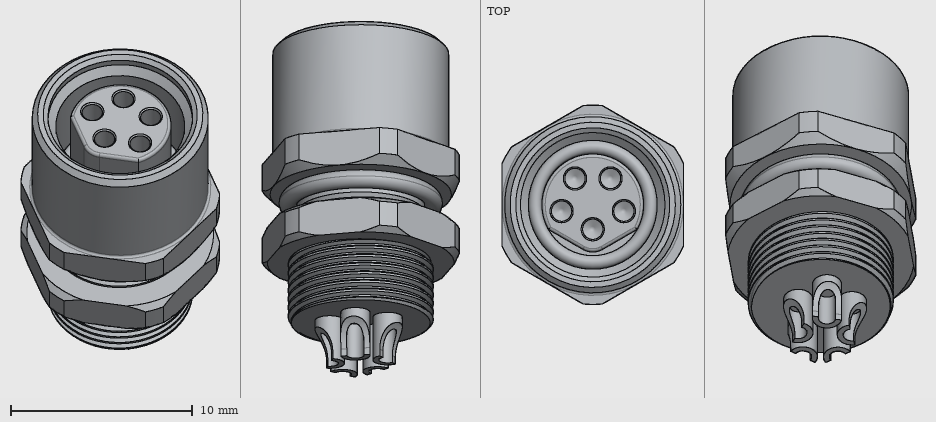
import cadquery as cq
import math


sleeve_radius = 4.85
sleeve_top_z = 8.5
sleeve_chamfer = 0.3
sleeve_root_fillet = 0.14

hex_across_flats = 10.0
hex_corner_radius = 5.495
flange_height = 2.0
flange_chamfer = 0.5
nut_top_z = -2.0
nut_height = 2.0
nut_chamfer_height = 0.3
nut_chamfer_width = 0.35

o_ring_outer_radius = 4.5
o_ring_section_radius = 0.5
neck_radius = 3.53
neck_length = 1.1

outer_thread_radius = 4.0
outer_thread_root_radius = 3.76
outer_thread_pitch = 0.5
outer_thread_root_width = 0.1
outer_thread_start_z = -7.92
outer_thread_turns = 13
thread_end_z = -7.5
thread_end_chamfer = 0.18

bore_radius = 3.55
bore_floor_z = 3.0
bore_mouth_radius = 4.24
bore_mouth_depth = 0.2
bore_relief_radius = 3.98
bore_relief_end_z = 7.9
inner_thread_radius = 4.0
inner_thread_pitch = 1.0
inner_thread_root_width = 0.12
inner_thread_start_z = 4.5
inner_thread_turns = 5

insert_radius = 2.8
insert_top_z = 7.72
insert_edge_fillet = 0.18
key_flat_distance = 2.4
key_corner_radius = 1.1

ring_contact_radius = 1.75
key_contact_radius = 1.345
upper_contact_angle = 56.0
lower_contact_angle = -11.5
contacts = [
    (ring_contact_radius, upper_contact_angle),
    (ring_contact_radius, 180 - upper_contact_angle),
    (ring_contact_radius, lower_contact_angle),
    (ring_contact_radius, 180 - lower_contact_angle),
    (key_contact_radius, -90),
]
contact_hole_radius = 0.56
contact_hole_depth = 4.0
contact_hole_chamfer = 0.08
drill_point_angle = 118.0

cup_radius = 0.81
cup_length = 2.5
cup_bore_radius = 0.48
cup_bore_depth = 2.0
cup_relief_radius = 2.0
cup_relief_straight = 0.4

overlap = 0.1

groove_clearance = 0.03


def cylinder(radius, bottom_z, top_z):
    return cq.Workplane("XY").workplane(offset=bottom_z).circle(radius).extrude(top_z - bottom_z)


def revolve(outline):
    """Turn a closed (r, z) outline about the Z axis."""
    return cq.Workplane("XZ").polyline(outline).close().revolve(360, (0, 0), (0, 1))


def thread_groove(pitch, start_z, turns, open_radius, root_radius, root_width):
    """Right-handed 60 degree thread groove, starting on +X with its middle at start_z."""
    flank_height = abs(open_radius - root_radius) * math.tan(math.radians(30))
    open_half_width = root_width / 2 + flank_height
    profile = cq.Workplane("XZ").polyline([
        (open_radius, start_z - open_half_width),
        (root_radius, start_z - root_width / 2),
        (root_radius, start_z + root_width / 2),
        (open_radius, start_z + open_half_width),
    ]).close()
    helix = cq.Wire.makeHelix(pitch, pitch * turns, root_radius).translate(cq.Vector(0, 0, start_z))
    return profile.sweep(cq.Workplane(helix), isFrenet=True)


def hexagon(bottom_z, top_z, envelope):
    """Hexagonal prism with flats on +X and -X, trimmed by a turned envelope (r, z)."""
    across_corners = hex_across_flats / math.cos(math.radians(30))
    prism = (
        cq.Workplane("XY").workplane(offset=bottom_z)
        .transformed(rotate=(0, 0, 30)).polygon(6, across_corners).extrude(top_z - bottom_z)
    )
    return prism.intersect(revolve(envelope))


def make_sleeve():
    """Sleeve with its mating bore and the internal thread."""
    root_radius = sleeve_radius + sleeve_root_fillet
    outside = (
        cq.Workplane("XZ")
        .moveTo(0, flange_height - overlap)
        .lineTo(root_radius, flange_height - overlap)
        .lineTo(root_radius, flange_height)
        .radiusArc((sleeve_radius, flange_height + sleeve_root_fillet), sleeve_root_fillet)
        .lineTo(sleeve_radius, sleeve_top_z - sleeve_chamfer)
        .lineTo(sleeve_radius - sleeve_chamfer, sleeve_top_z)
        .lineTo(0, sleeve_top_z)
        .close()
        .revolve(360, (0, 0), (0, 1))
    )
    groove = thread_groove(
        inner_thread_pitch, inner_thread_start_z, inner_thread_turns,
        bore_radius - groove_clearance, inner_thread_radius, inner_thread_root_width,
    )
    bored = outside.cut(cylinder(bore_radius, bore_floor_z, sleeve_top_z))
    return bored.cut(groove).cut(make_bore_mouth()).union(make_seal_ring())


def make_bore_mouth():
    """Chamfered mouth, relief above the thread and the 45 degree lead-in to the thread."""
    lead_in_radius = bore_radius - overlap
    lead_in_z = bore_relief_end_z - (bore_relief_radius - lead_in_radius)
    return revolve([
        (0, lead_in_z),
        (lead_in_radius, lead_in_z),
        (bore_relief_radius, bore_relief_end_z),
        (bore_relief_radius, sleeve_top_z - bore_mouth_depth),
        (bore_mouth_radius, sleeve_top_z),
        (bore_mouth_radius, sleeve_top_z + overlap),
        (0, sleeve_top_z + overlap),
    ])


def make_seal_ring():
    """Half-round sealing ring on the bore floor, filling the gap around the insert."""
    ring_radius = (bore_radius - insert_radius) / 2
    return (
        cq.Workplane("XZ")
        .moveTo(insert_radius, bore_floor_z - overlap)
        .lineTo(insert_radius, bore_floor_z)
        .threePointArc(
            (insert_radius + ring_radius, bore_floor_z + ring_radius), (bore_radius, bore_floor_z)
        )
        .lineTo(bore_radius, bore_floor_z - overlap)
        .close()
        .revolve(360, (0, 0), (0, 1))
    )


def make_flange():
    return hexagon(0, flange_height, [
        (0, 0),
        (hex_corner_radius - flange_chamfer, 0),
        (hex_corner_radius, flange_chamfer),
        (hex_corner_radius, flange_height),
        (0, flange_height),
    ])


def make_nut():
    bottom_z = nut_top_z - nut_height
    face_radius = hex_corner_radius - nut_chamfer_width
    return hexagon(bottom_z, nut_top_z, [
        (0, bottom_z),
        (face_radius, bottom_z),
        (hex_corner_radius, bottom_z + nut_chamfer_height),
        (hex_corner_radius, nut_top_z - nut_chamfer_height),
        (face_radius, nut_top_z),
        (0, nut_top_z),
    ])


def make_o_ring():
    center_radius = o_ring_outer_radius - o_ring_section_radius
    return (
        cq.Workplane("XZ").center(center_radius, -o_ring_section_radius)
        .circle(o_ring_section_radius).revolve(360, (-center_radius, 0), (-center_radius, 1))
    )


def make_threaded_stem():
    """Threaded stem with a chamfered lower end and a 45 degree shoulder up to the neck."""
    blank = cylinder(outer_thread_radius, thread_end_z, -neck_length)
    blank = blank.faces("<Z").chamfer(thread_end_chamfer)
    groove = thread_groove(
        outer_thread_pitch, outer_thread_start_z, outer_thread_turns,
        outer_thread_radius + groove_clearance, outer_thread_root_radius, outer_thread_root_width,
    )
    outside = outer_thread_radius + overlap
    shoulder_cut = revolve([
        (neck_radius, -neck_length + overlap),
        (neck_radius, -neck_length),
        (outside, neck_radius - outside - neck_length),
        (outside + overlap, neck_radius - outside - neck_length),
        (outside + overlap, -neck_length + overlap),
    ])
    neck = cylinder(neck_radius, -neck_length - overlap, overlap)
    return blank.cut(groove).cut(shoulder_cut).union(neck)


def make_insert():
    """Round insert with a V-shaped keying side toward -Y."""
    bottom_z = bore_floor_z - overlap
    height = insert_top_z - bottom_z
    apex_y = -key_flat_distance / math.cos(math.radians(30))
    reach = 2 * insert_radius
    shoulder_y = apex_y + reach * math.tan(math.radians(30))
    key = (
        cq.Workplane("XY").workplane(offset=bottom_z)
        .polyline([(0, apex_y), (reach, shoulder_y), (reach, reach), (-reach, reach), (-reach, shoulder_y)])
        .close().extrude(height)
        .edges("|Z and <Y").fillet(key_corner_radius)
    )
    insert = cylinder(insert_radius, bottom_z, insert_top_z).intersect(key)
    return insert.faces(">Z").edges().fillet(insert_edge_fillet)


def contact_position(distance, angle):
    return (distance * math.cos(math.radians(angle)), distance * math.sin(math.radians(angle)))


def make_contact_hole(distance, angle):
    """Contact hole with a chamfered mouth and a drill point."""
    x, y = contact_position(distance, angle)
    bottom_z = insert_top_z - contact_hole_depth
    point_depth = contact_hole_radius / math.tan(math.radians(drill_point_angle / 2))
    hole = revolve([
        (0, bottom_z - point_depth),
        (contact_hole_radius, bottom_z),
        (contact_hole_radius, insert_top_z - contact_hole_chamfer),
        (contact_hole_radius + contact_hole_chamfer, insert_top_z),
        (0, insert_top_z),
    ])
    return hole.translate((x, y, 0))


def make_solder_cup(distance, angle):
    """Cup whose outward half is scooped away to expose its bore."""
    end_z = thread_end_z - cup_length
    arc_end_z = end_z + cup_relief_straight
    cup = cylinder(cup_radius, end_z, thread_end_z + overlap)
    cup = cup.cut(cylinder(cup_bore_radius, end_z, end_z + cup_bore_depth))
    diagonal = cup_relief_radius * math.sqrt(0.5)
    relief = (
        cq.Workplane("XZ").workplane(offset=-cup_radius - overlap)
        .moveTo(0, end_z)
        .lineTo(0, arc_end_z)
        .threePointArc(
            (cup_relief_radius - diagonal, arc_end_z + diagonal),
            (cup_relief_radius, arc_end_z + cup_relief_radius),
        )
        .lineTo(cup_relief_radius, end_z)
        .close()
        .extrude(2 * (cup_radius + overlap))
    )
    x, y = contact_position(distance, angle)
    return cup.cut(relief).rotate((0, 0, 0), (0, 0, 1), angle).translate((x, y, 0))


head = make_sleeve().union(make_flange().cut(cylinder(bore_radius, bore_floor_z, sleeve_top_z)))
head = head.union(make_insert())
for contact in contacts:
    head = head.cut(make_contact_hole(*contact))

stem = make_threaded_stem().union(make_o_ring()).union(make_nut())
for contact in contacts:
    stem = stem.union(make_solder_cup(*contact))

result = head.union(stem)